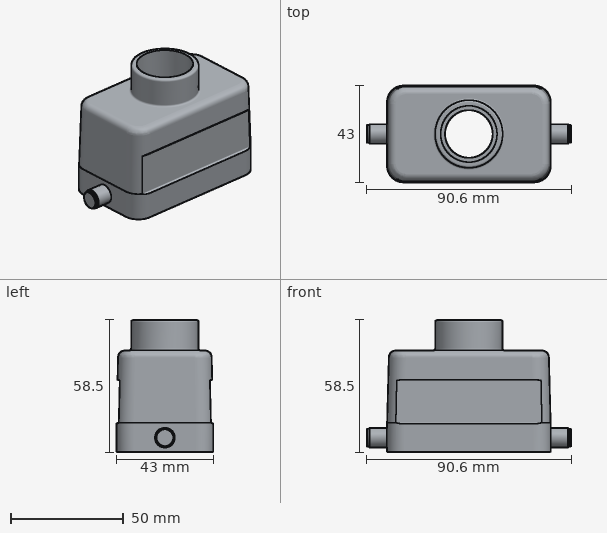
import cadquery as cq


skirt_length = 72.7
skirt_width = 43.0
skirt_height = 13.05
corner_radius = 7.6
bottom_edge_radius = 0.5

body_bottom_length = 72.6
body_bottom_width = 42.85
body_top_length = 70.85
body_top_width = 41.5
body_top_z = 45.0
body_edge_radius = 3.2

recess_bottom_z = skirt_height
recess_top_z = 32.25
recess_bottom_half_width = 20.5
recess_top_half_width = 20.0
recess_wall_slope = 0.5
recess_root_radius = 0.3

overall_height = 58.5
collar_diameter = 30.0
collar_edge_radius = 1.0
collar_root_radius = 0.9
bore_diameter = 25.0
bore_depth = 13.6
passage_diameter = 21.0

pin_span = 90.6
pin_diameter = 8.8
pin_tip_diameter = 8.0
pin_tip_length = 1.1
pin_shoulder_length = 0.4
pin_tip_chamfer = 0.3
pin_z = 6.3


def make_skirt():
    skirt = cq.Workplane("XY").box(skirt_length, skirt_width, skirt_height, centered=(True, True, False))
    return skirt.edges("|Z").fillet(corner_radius).faces("<Z").edges().fillet(bottom_edge_radius)


def make_drafted_prism(plane, bottom_width, top_width, depth):
    """Upright trapezoid on the given plane, extruded both ways by half the depth."""
    profile = [
        (-bottom_width / 2, skirt_height),
        (bottom_width / 2, skirt_height),
        (top_width / 2, body_top_z),
        (-top_width / 2, body_top_z),
    ]
    return cq.Workplane(plane).polyline(profile).close().extrude(depth / 2, both=True)


def make_body():
    """Block drafted on all four sides, with its upright corners rounded before its top edge."""
    ends = make_drafted_prism("XZ", body_bottom_length, body_top_length, body_bottom_width)
    sides = make_drafted_prism("YZ", body_bottom_width, body_top_width, body_bottom_length)
    block = ends.intersect(sides)
    return block.edges("not #Z").fillet(corner_radius).faces(">Z").edges().fillet(body_edge_radius)


def make_recess(side):
    """Cutter for one label recess; side is -1 for -Y and +1 for +Y.

    The floor follows the draft of the body; the lower wall falls and the upper wall rises towards the outside.
    """
    half_width = skirt_width / 2
    profile = [
        (side * recess_bottom_half_width, recess_bottom_z),
        (side * recess_top_half_width, recess_top_z - recess_wall_slope),
        (side * half_width, recess_top_z),
        (side * half_width, recess_bottom_z - recess_wall_slope),
    ]
    cutter = cq.Workplane("YZ").polyline(profile).close().extrude(skirt_length / 2, both=True)
    floor = cutter.faces("<Y" if side > 0 else ">Y")
    return floor.edges("|X").fillet(recess_root_radius)


def make_collar():
    """Revolved collar with a rounded rim and a concave root blending into the body top."""
    radius = collar_diameter / 2
    root = collar_root_radius
    rim = collar_edge_radius
    return (
        cq.Workplane("XZ")
        .moveTo(0, skirt_height)
        .lineTo(radius + root, skirt_height)
        .lineTo(radius + root, body_top_z)
        .radiusArc((radius, body_top_z + root), root)
        .lineTo(radius, overall_height - rim)
        .radiusArc((radius - rim, overall_height), -rim)
        .lineTo(0, overall_height)
        .close()
        .revolve(360, (0, 0, 0), (0, 1, 0))
    )


def make_pins():
    """Both pins as one turned bar through the skirt."""
    half_span = pin_span / 2
    tip_radius = pin_tip_diameter / 2
    tip_start = half_span - pin_tip_length
    shank_end = tip_start - pin_shoulder_length
    half_bar = (
        cq.Workplane("XY")
        .polyline([
            (0, 0),
            (0, pin_diameter / 2),
            (shank_end, pin_diameter / 2),
            (tip_start, tip_radius),
            (half_span - pin_tip_chamfer, tip_radius),
            (half_span, tip_radius - pin_tip_chamfer),
            (half_span, 0),
        ])
        .close()
        .revolve(360, (0, 0, 0), (1, 0, 0))
    )
    return half_bar.union(half_bar.mirror("YZ")).translate((0, 0, pin_z))


result = make_skirt().union(make_body())
for side in (-1, 1):
    result = result.cut(make_recess(side))

result = result.union(make_collar()).union(make_pins())

bore = cq.Workplane("XY", origin=(0, 0, overall_height)).circle(bore_diameter / 2).extrude(-bore_depth)
passage = cq.Workplane("XY").circle(passage_diameter / 2).extrude(overall_height)
result = result.cut(bore).cut(passage)